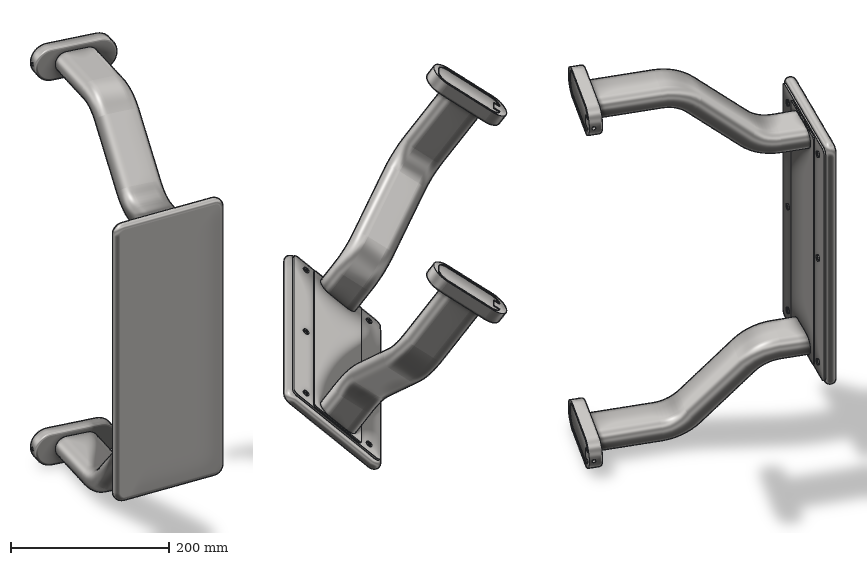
import cadquery as cq
import math

total_height = 596.0
flange_height = 45.0
flange_width = 112.5
flange_depth = 18.0
flange_round = 3.0
flange_z = (total_height - flange_height) / 2

recess_depth = 1.0
recess_width = 95.0
recess_height = 37.5
recess_corner = 14.5
recess_shift = 1.0
tab_length = 9.5
tab_height = 15.0

grub_hole_diameter = 5.0
grub_hole_depth = 6.0
grub_hole_x = 6.0

arm_width = 59.5
arm_height = 30.5
bend_start_x = 102.0
bend_radius = 60.0
bend_angle = math.radians(45)
arm_drop = 105.0
arm_end_x = 298.0

tilt_degrees = 7.0
rest_x = 290.0
cushion_width = 160.5
cushion_height = 396.5
cushion_thickness = 14.0
cushion_corner = 14.5
edge_round = 0.49 * cushion_thickness
backing_thickness = 2.5
backing_inset = 6.5
panel_thickness = 2.0
panel_width = 80.0
panel_inset = 10.0
panel_corner = 3.0
screw_diameter = 8.5
screw_height = 2.0
socket_diameter = 3.0
screw_pitch_y = 107.0
screw_pitch_z = 171.5


def slab(x_start, thickness, width, height, corner):
    """Upright board with rounded corners, its thickness along +X."""
    board = cq.Workplane("XY").box(thickness, width, height, centered=(False, True, True))
    return board.edges("|X").fillet(corner).translate((x_start, 0, 0))


def make_flange():
    """Flange centred on the X axis with its wall face at X = 0."""
    flange = cq.Workplane("YZ").slot2D(flange_width, flange_height).extrude(flange_depth)
    flange = flange.faces(">X").edges().fillet(flange_round)

    recess = slab(0, recess_depth, recess_width, recess_height, recess_corner)
    tab_y = (tab_length - recess_width) / 2
    tab = cq.Workplane("XY").box(recess_depth, tab_length, tab_height, centered=(False, True, True))
    recess = recess.cut(tab.translate((0, tab_y, 0))).translate((0, recess_shift, 0))

    grub_hole = (
        cq.Workplane("XZ", origin=(grub_hole_x, -flange_width / 2, 0))
        .circle(grub_hole_diameter / 2)
        .extrude(-grub_hole_depth)
    )
    return flange.cut(recess).cut(grub_hole)


def make_arm():
    """Upper arm: straight, bend down, slope, bend level, straight into the rest."""
    bend_run = bend_radius * math.sin(bend_angle)
    bend_drop = bend_radius * (1 - math.cos(bend_angle))
    slope_drop = arm_drop - 2 * bend_drop
    slope_run = slope_drop / math.tan(bend_angle)

    slope_start = (bend_start_x + bend_run, flange_z - bend_drop)
    slope_end = (slope_start[0] + slope_run, slope_start[1] - slope_drop)
    level_start = (slope_end[0] + bend_run, flange_z - arm_drop)
    path = (
        cq.Workplane("XZ")
        .moveTo(flange_depth / 2, flange_z)
        .lineTo(bend_start_x, flange_z)
        .tangentArcPoint(slope_start, relative=False)
        .lineTo(*slope_end)
        .tangentArcPoint(level_start, relative=False)
        .lineTo(arm_end_x, level_start[1])
    )
    section = cq.Workplane("YZ", origin=(flange_depth / 2, 0, flange_z))
    return section.slot2D(arm_width, arm_height).sweep(path)


def make_rest():
    """Back rest built upright with the panel face at X = 0, then tilted about Z."""
    backing_x = panel_thickness
    cushion_x = backing_x + backing_thickness
    cushion = slab(cushion_x, cushion_thickness, cushion_width, cushion_height, cushion_corner)
    cushion = cushion.faces("<X or >X").edges().fillet(edge_round)
    backing = slab(
        backing_x,
        backing_thickness + cushion_thickness / 2,
        cushion_width - 2 * backing_inset,
        cushion_height - 2 * backing_inset,
        cushion_corner - backing_inset,
    )
    panel = slab(0, panel_thickness, panel_width, cushion_height - 2 * panel_inset, panel_corner)
    screws = (
        cq.Workplane("YZ", origin=(backing_x - screw_height, 0, 0))
        .rarray(screw_pitch_y, screw_pitch_z, 2, 3)
        .circle(screw_diameter / 2)
        .circle(socket_diameter / 2)
        .extrude(screw_height)
    )
    rest = cushion.union(backing).union(panel).union(screws)
    return rest.rotate((0, 0, 0), (0, 0, 1), tilt_degrees).translate((rest_x, 0, 0))


flange = make_flange()
upper_arm = make_arm()
result = make_rest().union(upper_arm).union(upper_arm.mirror("XY"))
for side in (1, -1):
    result = result.union(flange.translate((0, 0, side * flange_z)))